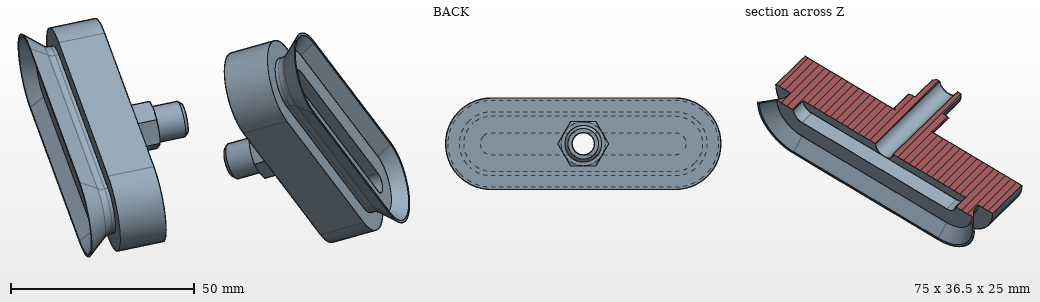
import cadquery as cq
import math


length = 75.0
height = 25.0
end_radius = height / 2
end_center = length / 2 - end_radius

body_front = 8.0
body_back = 21.0
nut_back = 28.0
stud_back = 36.5

neck_radius = 7.5
neck_fillet = 3.0
flare_start = 5.0
neck_end = 7.05
lip_width = 0.7
cup_floor = 3.75
floor_radius = 8.7

nut_flats = 12.0
nut_chamfer = 0.26
stud_diameter = 10.0
stud_chamfer_length = 1.0
stud_chamfer_width = 0.8

bore_diameter = 6.0


def along_y(start):
    """Sketch plane at Y = start, with X to the right and extrusion towards +Y."""
    return cq.Workplane(cq.Plane(origin=(0, start, 0), xDir=(1, 0, 0), normal=(0, 1, 0)))


def oval_prism(radius, start, end):
    return along_y(start).slot2D(2 * (end_center + radius), 2 * radius).extrude(end - start)


def sweep_oval(profile):
    """Sweep a closed profile, drawn as (distance, Y), around the oval.

    The profile starts on the axis: it is revolved at both ends and extruded between them.
    """
    end = profile.revolve(360, (0, 0, 0), (0, 1, 0))
    half = (
        cq.Workplane(cq.Plane(origin=(-end_center, 0, 0), xDir=(0, 0, 1), normal=(1, 0, 0)))
        .add(profile.val().rotate((0, 0, 0), (0, 1, 0), -90).translate((-end_center, 0, 0)))
        .toPending()
        .extrude(2 * end_center)
    )
    return (
        end.translate((-end_center, 0, 0))
        .union(end.translate((end_center, 0, 0)))
        .union(half)
        .union(half.mirror("XY"))
    )


def make_cup():
    flare_angle = math.asin((neck_end - flare_start) / neck_fillet)
    flare_radius = neck_radius + neck_fillet * (1 - math.cos(flare_angle))
    outside = (
        cq.Workplane("XY")
        .lineTo(end_radius, 0)
        .lineTo(flare_radius, flare_start)
        .radiusArc((neck_radius, neck_end), neck_fillet)
        .lineTo(neck_radius, body_front)
        .lineTo(0, body_front)
        .close()
    )
    inside = (
        cq.Workplane("XY")
        .lineTo(end_radius - lip_width, 0)
        .lineTo(floor_radius, cup_floor)
        .lineTo(0, cup_floor)
        .close()
    )
    return sweep_oval(outside).cut(sweep_oval(inside))


def make_nut():
    nut_length = nut_back - body_back
    corner_diameter = nut_flats / math.cos(math.pi / 6)
    hexagon = along_y(body_back).polygon(6, corner_diameter).extrude(nut_length)
    corner_overhang = (corner_diameter - nut_flats) / 2
    trim = (
        along_y(body_back)
        .circle(corner_diameter / 2)
        .extrude(nut_length)
        .faces("<Y or >Y")
        .edges()
        .chamfer(nut_chamfer, corner_overhang)
    )
    return hexagon.intersect(trim)


def make_stud():
    stud = along_y(body_back).circle(stud_diameter / 2).extrude(stud_back - body_back)
    return stud.faces(">Y").edges().chamfer(stud_chamfer_length, stud_chamfer_width)


body = oval_prism(end_radius, body_front, body_back)
solid = body.union(make_cup()).union(make_nut()).union(make_stud())

slot = oval_prism(bore_diameter / 2, cup_floor, body_front)
bore = along_y(cup_floor).circle(bore_diameter / 2).extrude(stud_back - cup_floor)
result = solid.cut(slot).cut(bore)